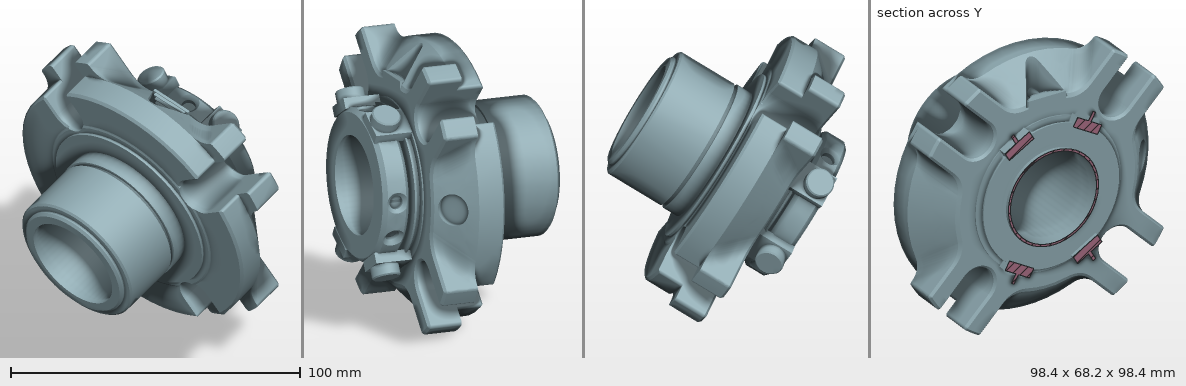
import cadquery as cq
import math


disc_radius = 49.2
disc_thickness = 9.8
rim_chamfer = 0.9
mouth_corner_radius = 1.0
gland_back = 22.3
ear_tip_radius = 55.4
ear_width = 7.9
ear_corner_radius = 1.2
valley_fillet_front = 8.0
valley_fillet_back = 9.35
slot_radius = 6.94
slot_centre = 40.2
slot_chamfer = 0.7
slot_angles = (45, 135, 225, 315)
valley_angles = (0, 90, 180, 270)
valley_floor_back = disc_radius - (gland_back - disc_thickness)
back_boss_diameter = 59.2
back_boss_height = 0.5

hub_diameter = 70.9
hub_height = 0.4
hub_bevel = 0.8
pilot_diameter = 65.0
pilot_height = 1.5
relief_diameter = 49.5
relief_front = -2.0
shoulder_diameter = 49.6
shoulder_front = -7.2
groove_diameter = 47.1
groove_front = -8.6
sleeve_diameter = 49.0
sleeve_front = -30.3
sleeve_chamfer = 0.7
nose_diameter = 43.2
nose_front = -32.1
nose_chamfer = 0.9
bore_diameter = 34.9

seat_diameter = 53.9
seat_back = 24.2
ring_diameter = 55.4
ring_back = 24.9
neck_diameter = 37.0
collar_diameter = 53.9
collar_front = 26.4
collar_back = 36.1
collar_chamfer = 1.5

clip_angles = (60, 120, 240, 300)
clip_outer = 29.7
clip_thickness = 3.8
clip_width = 11.6
screw_y = collar_back - 5.0
screw_head_diameter = 10.0
screw_head_top = 33.9
screw_head_chamfer = 0.5
set_screw_angles = (90, 180, 210, 330)
slotted_screw_angle = 180
set_screw_diameter = 4.9
set_screw_sink_diameter = 7.9
set_screw_depth = 3.15
screwdriver_slot_width = 1.0
screwdriver_slot_depth = 0.5

port_diameter = 11.3
port_depth = 2.9
port_y = 16.7
window_half_angle = 34.0
window_apex_y = 8.3
window_tip_y = 10.8
window_top = disc_radius
window_floor = 29.5
window_draft = 3.0
ridge_height = 35.4
pin_diameter = 3.7
pin_axis_height = 34.4
step_count = 5
step_pitch = 1.13
first_step_half_width = 7.7
first_step_y = 21.4
step_drop = 0.3

size_tolerance = 0.01


def disc(diameter, y_front, y_back):
    """Cylinder on the Y axis between two Y positions."""
    plane = cq.Workplane("XZ", origin=(0, y_front, 0))
    return plane.circle(diameter / 2).extrude(y_front - y_back)


def turned(solid, angle):
    """Turn a solid about Y so that +X goes to the given angle, counted from +X toward +Z."""
    return solid.rotate((0, 0, 0), (0, 1, 0), -angle)


def slot_cutter(y_front, y_back):
    """Open radial slot along +X with a round inner end."""
    outer = ear_tip_radius + slot_radius
    return (
        cq.Workplane("XZ", origin=(0, y_front, 0))
        .moveTo(outer, -slot_radius)
        .lineTo(slot_centre, -slot_radius)
        .radiusArc((slot_centre - slot_radius, 0), slot_radius)
        .radiusArc((slot_centre, slot_radius), slot_radius)
        .lineTo(outer, slot_radius)
        .close()
        .extrude(y_front - y_back)
    )


def valley_wire(y, floor_radius, fillet):
    """Section between two ears: straight flanks, round fillets and an arc about the axis."""
    flank_offset = slot_radius + ear_width
    diagonal = math.sqrt(2)
    rise = (flank_offset + fillet) * diagonal
    reach = floor_radius + fillet
    fillet_x = (math.sqrt(2 * reach**2 - rise**2) - rise) / 2
    fillet_z = fillet_x + rise
    floor_angle = math.atan2(-fillet_z, -fillet_x)
    flank_angle = -math.pi / 4
    middle_angle = (floor_angle + flank_angle) / 2

    def on_fillet(angle):
        return (fillet_x + fillet * math.cos(angle), fillet_z + fillet * math.sin(angle))

    def mirrored(point):
        return (-point[0], point[1])

    floor_end = on_fillet(floor_angle)
    middle = on_fillet(middle_angle)
    flank_end = on_fillet(flank_angle)
    outer = (ear_tip_radius, ear_tip_radius + flank_offset * diagonal)
    return (
        cq.Workplane("XZ", origin=(0, y, 0))
        .moveTo(*outer)
        .lineTo(*flank_end)
        .threePointArc(middle, floor_end)
        .threePointArc((0, floor_radius), mirrored(floor_end))
        .threePointArc(mirrored(middle), mirrored(flank_end))
        .lineTo(*mirrored(outer))
        .close()
        .val()
    )


def corner_edges(body, radius, length):
    """Edges that run the given length along Y at the given radius."""

    def is_corner(edge):
        centre = edge.Center()
        at_radius = abs(math.hypot(centre.x, centre.z) - radius) < size_tolerance
        return at_radius and abs(edge.BoundingBox().ylen - length) < size_tolerance

    return body.edges().filter(is_corner)


def ears():
    """Rear part of the gland: a 45 degree cone with a pair of ears beside each slot."""
    body = disc(2 * ear_tip_radius, disc_thickness, gland_back)
    front_section = valley_wire(disc_thickness, disc_radius, valley_fillet_front)
    back_section = valley_wire(gland_back, valley_floor_back, valley_fillet_back)
    valley = cq.Workplane(cq.Solid.makeLoft([front_section, back_section], True))
    for angle in slot_angles:
        body = body.cut(turned(slot_cutter(disc_thickness, gland_back), angle))
    for angle in valley_angles:
        body = body.cut(turned(valley, angle))
    body = corner_edges(body, ear_tip_radius, gland_back - disc_thickness).fillet(ear_corner_radius)
    return body.faces(">Y").edges().chamfer(rim_chamfer)


def slot_edge_chamfer():
    """Bevel on the front edge of one wall and the adjoining quarter of the round slot end."""
    profile = (
        cq.Workplane("YZ", origin=(slot_centre, 0, 0))
        .moveTo(0, slot_radius - slot_chamfer)
        .lineTo(0, slot_radius + slot_chamfer)
        .lineTo(slot_chamfer, slot_radius)
        .lineTo(slot_chamfer, slot_radius - slot_chamfer)
        .close()
    )
    along_wall = profile.extrude(disc_radius - slot_centre)
    around_end = profile.toPending().revolve(90, (0, 0, 0), (-1, 0, 0))
    return along_wall.union(around_end)


def gland():
    """Disc, ears, hub and pilot with the four slots cut through."""
    blank = disc(2 * disc_radius, 0, disc_thickness)
    body = blank
    for angle in slot_angles:
        body = body.cut(turned(slot_cutter(0, disc_thickness), angle))
    body = corner_edges(body, disc_radius, disc_thickness).fillet(mouth_corner_radius)
    body = body.intersect(blank.faces("<Y").edges().chamfer(rim_chamfer))
    for angle in slot_angles:
        body = body.cut(turned(slot_edge_chamfer(), angle))
    hub = disc(hub_diameter, -hub_height, disc_thickness)
    hub = hub.faces("<Y").edges().chamfer(hub_height, hub_bevel)
    pilot = disc(pilot_diameter, -pilot_height, 0)
    back_boss = disc(back_boss_diameter, disc_thickness, gland_back + back_boss_height)
    body = body.union(hub).union(pilot)
    for angle in slot_angles:
        body = body.cut(turned(slot_cutter(-pilot_height, disc_thickness), angle))
    return body.union(ears()).union(back_boss)


def blind_port():
    """Flat-bottomed round port, square to the cone, on the -X side."""
    cone_radius = disc_radius - (port_y - disc_thickness)
    mouth = cq.Plane(origin=(-cone_radius, port_y, 0), xDir=(0, 0, 1), normal=(-1, 1, 0))
    return (
        cq.Workplane(mouth)
        .workplane(offset=-port_depth)
        .circle(port_diameter / 2)
        .extrude(2 * port_depth)
    )


def window_cutter():
    """Vee-shaped pocket with a round tip, sunk into the cone from +Z and open to the back."""
    slope = math.tan(math.radians(window_half_angle))
    sine = math.sin(math.radians(window_half_angle))
    tip_radius = (window_tip_y - window_apex_y) / (1 / sine - 1)
    tip_centre = window_tip_y + tip_radius
    tangent_x = tip_radius * math.cos(math.radians(window_half_angle))
    tangent_y = tip_centre - tip_radius * sine
    mouth_y = gland_back + back_boss_height
    mouth_x = (mouth_y - window_apex_y) * slope
    return (
        cq.Workplane("XY", origin=(0, 0, window_top))
        .moveTo(-mouth_x, mouth_y)
        .lineTo(-tangent_x, tangent_y)
        .threePointArc((0, window_tip_y), (tangent_x, tangent_y))
        .lineTo(mouth_x, mouth_y)
        .close()
        .extrude(window_floor - window_top, taper=window_draft)
    )


def window_insert():
    """Ridge on the pocket floor carrying a pin and a flight of narrowing steps."""
    half_base = ridge_height - window_floor
    length = gland_back - disc_thickness
    ridge = (
        cq.Workplane("XZ", origin=(0, disc_thickness, 0))
        .polyline([(-half_base, window_floor), (0, ridge_height), (half_base, window_floor)])
        .close()
        .extrude(-length)
    )
    pin = disc(pin_diameter, disc_thickness, gland_back).translate((0, 0, pin_axis_height))
    insert = ridge.union(pin)
    for step in range(step_count):
        half_width = first_step_half_width - step * step_pitch
        front = first_step_y - step * step_pitch
        top = pin_axis_height + pin_diameter / 2 + (step_count - step) * step_drop
        insert = insert.union(
            cq.Workplane("XY", origin=(0, 0, window_floor))
            .rect(2 * half_width, gland_back - front)
            .extrude(top - window_floor)
            .translate((0, (gland_back + front) / 2, 0))
        )
    return insert


def sleeve():
    """Stepped sleeve in front of the gland."""
    relief = disc(relief_diameter, relief_front, 0)
    shoulder = disc(shoulder_diameter, shoulder_front, relief_front)
    groove = disc(groove_diameter, groove_front, 0)
    tube = disc(sleeve_diameter, sleeve_front, groove_front).faces("<Y").edges().chamfer(sleeve_chamfer)
    nose = disc(nose_diameter, nose_front, groove_front).faces("<Y").edges().chamfer(nose_chamfer)
    return relief.union(shoulder).union(groove).union(tube).union(nose)


def set_screw_hole():
    """Countersunk hole in the collar rim on +X, closed by a sunk set screw."""
    rim = collar_diameter / 2
    sink = (set_screw_sink_diameter - set_screw_diameter) / 2
    plane = cq.Workplane("YZ", origin=(rim, screw_y, 0))
    hole = plane.circle(set_screw_diameter / 2).extrude(-set_screw_depth)
    cone = cq.Solid.makeCone(
        set_screw_diameter / 2,
        set_screw_sink_diameter / 2,
        sink,
        pnt=cq.Vector(rim - sink, screw_y, 0),
        dir=cq.Vector(1, 0, 0),
    )
    return hole.union(cq.Workplane(cone))


def screwdriver_slot():
    """Slot across the set screw, along Y."""
    floor = collar_diameter / 2 - set_screw_depth
    return cq.Workplane("XY").box(
        2 * screwdriver_slot_depth, set_screw_diameter, screwdriver_slot_width
    ).translate((floor, screw_y, 0))


def collar():
    """Locking collar with its set screws, on the neck, ring and seat behind the gland."""
    ring = disc(collar_diameter, collar_front, collar_back).edges().chamfer(collar_chamfer)
    for angle in set_screw_angles:
        ring = ring.cut(turned(set_screw_hole(), angle))
    ring = ring.cut(turned(screwdriver_slot(), slotted_screw_angle))
    seat = disc(seat_diameter, gland_back, seat_back)
    thin_ring = disc(ring_diameter, seat_back, ring_back)
    neck = disc(neck_diameter, ring_back, collar_front)
    return ring.union(seat).union(thin_ring).union(neck)


def clip():
    """Flat setting clip on +X joining collar and gland, with its screw head."""
    front = gland_back + back_boss_height
    length = collar_back - front
    plate = cq.Workplane("XY").box(clip_thickness, length, clip_width).translate(
        (clip_outer - clip_thickness / 2, front + length / 2, 0)
    )
    head = (
        cq.Workplane("YZ", origin=(clip_outer, screw_y, 0))
        .circle(screw_head_diameter / 2)
        .extrude(screw_head_top - clip_outer)
        .faces(">X")
        .edges()
        .chamfer(screw_head_chamfer)
    )
    return plate.union(head)


result = gland().cut(blind_port()).cut(window_cutter()).union(window_insert())
result = result.union(sleeve()).union(collar())
for clip_angle in clip_angles:
    result = result.union(turned(clip(), clip_angle))
result = result.cut(disc(bore_diameter, nose_front, collar_back))